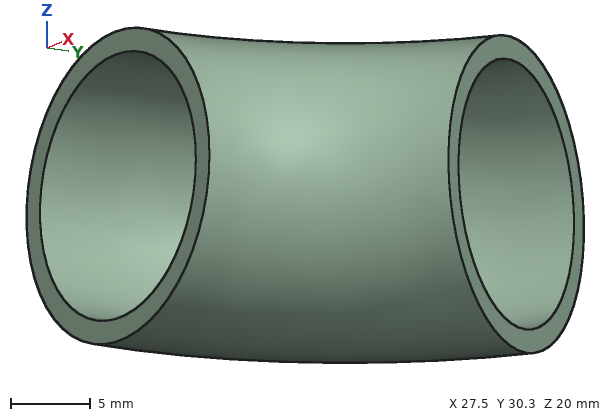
import cadquery as cq
import math

overall_length = 30.3
outer_diameter = 20.0
wall_thickness = 1.5
bend_angle = 60.0

outer_radius = outer_diameter / 2
inner_radius = outer_radius - wall_thickness

outside_bend_radius = overall_length / math.sin(math.radians(bend_angle))
bend_radius = outside_bend_radius - outer_radius

axis_start = (bend_radius, 0)
axis_end = (bend_radius, -1)

result = (
    cq.Workplane("XZ")
    .circle(outer_radius)
    .circle(inner_radius)
    .revolve(bend_angle, axis_start, axis_end)
)